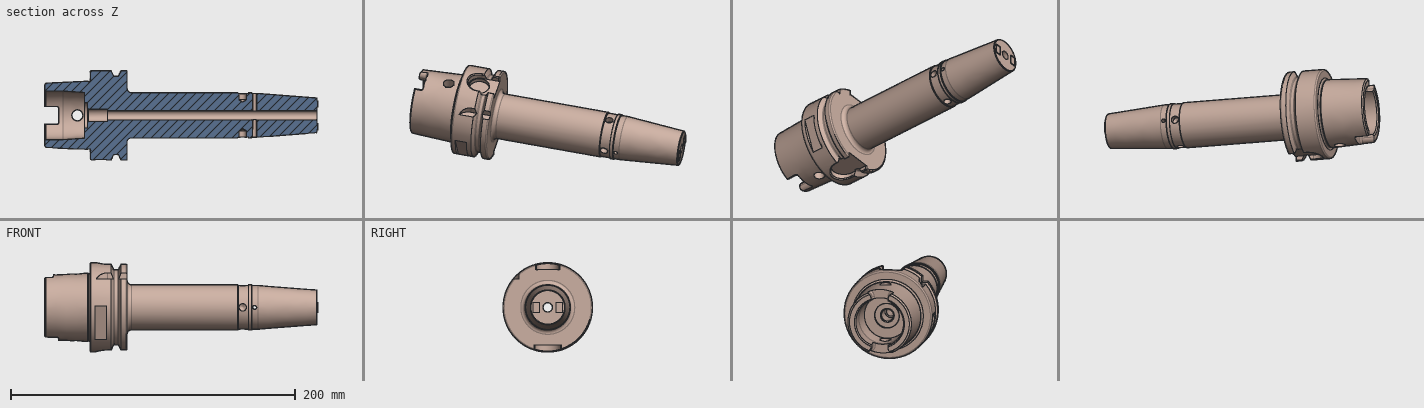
import cadquery as cq
import math


half_diagonal = math.sqrt(0.5)
select_margin = 0.1

shank_length = 32.0
shank_tip_radius = 22.7
shank_root_radius = 24.2
shank_tip_chamfer = 0.8
shank_tip_chamfer_height = 1.3
undercut_start = -1.9
undercut_flat_start = -1.3
undercut_flat_end = -0.6
undercut_radius = 23.8
face_recess_radius = 25.4
face_recess_depth = 0.25

bore_radius = 17.0
bore_mouth_radius = 17.9
bore_mouth_length = 0.9
bore_straight_end = -19.0
bore_floor_x = -4.0
bore_floor_radius = 16.0
seat_radius = 8.8
seat_depth = 2.0
thread_radius = 4.3
thread_chamfer = 0.7
thread_depth = 14.0
coolant_radius = 3.2

slot_width = 12.3
slot_round = 3.4
slot_round_centre_z = 17.7
slot_floor_fillet = 1.3
upper_slot_depth = 6.1
lower_slot_depth = 9.9

access_hole_x = -9.0
access_hole_radius = 3.8

flange_radius = 31.5
flange_width = 26.0
flange_round = 1.0
rim_round = 0.9
groove_centre_x = 18.2
groove_bottom_radius = 27.6
groove_bottom_width = 3.0
groove_flank_angle = 27.0
groove_bottom_fillet = 0.6

key_centre_x = 13.0
key_floor_z = 26.5
key_edge_chamfer = 0.8
upper_key_radius = 7.8
lower_key_radius = 9.0
key_pocket_radius = 7.1
key_pocket_depth = 2.7

notch_floor_z = 20.0
notch_wall_y = -20.2
notch_end_x = 12.0
notch_end_radius = 9.0

flat_start_x = 3.4
flat_length = 8.1
flat_distance = 28.9
flat_angle = 22.0

body_radius = 16.0
body_fillet = 3.0
groove_step = 0.5
screw_band_start = 103.7
screw_band_end = 111.1
collar_end = 113.3
step_chamfer = 0.5
nose_start = 117.9
nose_root_radius = 15.5
nose_tip_radius = 12.3
nose_chamfer = 0.5
nose_end = 159.5

screw_hole_x = 107.2
screw_hole_radius = 2.6
screw_hole_depth = 5.0
drill_point_angle = 118.0
relief_hole_x = 115.6
relief_hole_radius = 1.3

pad_height = 0.5
pad_offset = 8.0
pad_width = 4.4
pad_length = 7.0


def turned_body():
    """Outer profile revolved about X."""
    taper_slope = (shank_root_radius - shank_tip_radius) / shank_length
    undercut_edge = shank_root_radius + taper_slope * undercut_start
    recess_middle = (undercut_radius + face_recess_radius) / 2
    flange_round_drop = flange_round * (1 - half_diagonal)
    rim_round_drop = rim_round * (1 - half_diagonal)
    half_bottom = groove_bottom_width / 2
    flank_width = (flange_radius - groove_bottom_radius) * math.tan(math.radians(groove_flank_angle))
    half_top = half_bottom + flank_width
    band_radius = body_radius - groove_step
    fillet_mid = body_fillet * (1 - half_diagonal)
    profile = (
        cq.Workplane("XY")
        .moveTo(-shank_length, 0)
        .lineTo(-shank_length, shank_tip_radius - shank_tip_chamfer_height)
        .lineTo(-shank_length + shank_tip_chamfer, shank_tip_radius)
        .lineTo(undercut_start, undercut_edge)
        .lineTo(undercut_flat_start, undercut_radius)
        .lineTo(undercut_flat_end, undercut_radius)
        .threePointArc((face_recess_depth, recess_middle), (0, face_recess_radius))
        .lineTo(0, flange_radius - flange_round)
        .threePointArc(
            (flange_round_drop, flange_radius - flange_round_drop),
            (flange_round, flange_radius),
        )
        .lineTo(groove_centre_x - half_top, flange_radius)
        .lineTo(groove_centre_x - half_bottom, groove_bottom_radius)
        .lineTo(groove_centre_x + half_bottom, groove_bottom_radius)
        .lineTo(groove_centre_x + half_top, flange_radius)
        .lineTo(flange_width - rim_round, flange_radius)
        .threePointArc(
            (flange_width - rim_round_drop, flange_radius - rim_round_drop),
            (flange_width, flange_radius - rim_round),
        )
        .lineTo(flange_width, body_radius + body_fillet)
        .threePointArc(
            (flange_width + fillet_mid, body_radius + fillet_mid),
            (flange_width + body_fillet, body_radius),
        )
        .lineTo(screw_band_start, body_radius)
        .lineTo(screw_band_start + step_chamfer, band_radius)
        .lineTo(screw_band_end, band_radius)
        .lineTo(screw_band_end, body_radius)
        .lineTo(collar_end, body_radius)
        .lineTo(collar_end + step_chamfer, nose_root_radius)
        .lineTo(nose_start, nose_root_radius)
        .lineTo(nose_end - nose_chamfer, nose_tip_radius)
        .lineTo(nose_end, nose_tip_radius - nose_chamfer)
        .lineTo(nose_end, 0)
        .close()
    )
    body = profile.revolve(360, (0, 0, 0), (1, 0, 0))
    corner_finder = cq.selectors.BoxSelector(
        (groove_centre_x - half_bottom - select_margin, -flange_radius, -flange_radius),
        (groove_centre_x + half_bottom + select_margin, flange_radius, flange_radius),
    )
    return body.edges(corner_finder).edges("%CIRCLE").fillet(groove_bottom_fillet)


def shank_bore():
    """Stepped bore entering from the shank tip, with the coolant passage through to the nose."""
    mouth_end = -shank_length + bore_mouth_length
    seat_x = bore_floor_x + seat_depth
    profile = (
        cq.Workplane("XY")
        .moveTo(-shank_length, 0)
        .lineTo(-shank_length, bore_mouth_radius)
        .lineTo(mouth_end, bore_radius)
        .lineTo(bore_straight_end, bore_radius)
        .lineTo(bore_floor_x, bore_floor_radius)
        .lineTo(bore_floor_x, seat_radius)
        .lineTo(seat_x, seat_radius)
        .lineTo(seat_x, thread_radius + thread_chamfer)
        .lineTo(seat_x + thread_chamfer, thread_radius)
        .lineTo(seat_x + thread_depth, thread_radius)
        .lineTo(seat_x + thread_depth, coolant_radius)
        .lineTo(nose_end, coolant_radius)
        .lineTo(nose_end, 0)
        .close()
    )
    return profile.revolve(360, (0, 0, 0), (1, 0, 0))


def drive_slot(depth):
    """Slot in the +Z side of the shank tip, its outer corners flaring with convex rounds."""
    half = slot_width / 2
    outer_half = half + slot_round
    round_top_z = slot_round_centre_z + slot_round
    diagonal = slot_round * half_diagonal
    slot = (
        cq.Workplane("YZ", origin=(-shank_length, 0, 0))
        .moveTo(-half, 0)
        .lineTo(half, 0)
        .lineTo(half, slot_round_centre_z)
        .threePointArc(
            (outer_half - diagonal, slot_round_centre_z + diagonal),
            (outer_half, round_top_z),
        )
        .lineTo(outer_half, flange_radius)
        .lineTo(-outer_half, flange_radius)
        .lineTo(-outer_half, round_top_z)
        .threePointArc(
            (diagonal - outer_half, slot_round_centre_z + diagonal),
            (-half, slot_round_centre_z),
        )
        .close()
        .extrude(depth)
    )
    return slot.faces(">X").edges("not #Z").edges("not |Y").fillet(slot_floor_fillet)


def keyway(radius):
    """Round-ended keyway in the +Z side of the flange, open towards the tool end."""
    height = flange_radius - key_floor_z
    run_out = flange_width - key_centre_x + radius
    return (
        cq.Workplane("XY", origin=(key_centre_x, 0, key_floor_z))
        .moveTo(run_out, -radius)
        .lineTo(0, -radius)
        .threePointArc((-radius, 0), (0, radius))
        .lineTo(run_out, radius)
        .close()
        .extrude(height)
    )


def chamfer_key_mouth(body, radius):
    """Break the rim of the +Z keyway where it meets the flange cylinder."""
    side_height = math.sqrt(flange_radius**2 - radius**2)
    rim_edges = cq.selectors.BoxSelector(
        (key_centre_x - radius - select_margin, -radius - select_margin, side_height - select_margin),
        (flange_width - rim_round, radius + select_margin, flange_radius + select_margin),
    )
    return body.edges(rim_edges).chamfer(key_edge_chamfer)


def key_pocket():
    """Round pocket sunk into the upper keyway floor."""
    floor_z = key_floor_z - key_pocket_depth
    return (
        cq.Workplane("XY", origin=(key_centre_x, 0, floor_z))
        .circle(key_pocket_radius)
        .extrude(flange_radius - floor_z)
    )


def orientation_notch():
    """Flat-floored corner notch with an end-mill radius at its blind end."""
    run = flange_width - notch_end_x
    height = flange_radius - notch_floor_z
    plane = cq.Workplane("XY", origin=(notch_end_x, notch_wall_y - notch_end_radius, notch_floor_z))
    blind_end = plane.circle(notch_end_radius).extrude(height)
    channel = plane.center(run / 2, 0).rect(run, 2 * notch_end_radius).extrude(height)
    return blind_end.union(channel)


def chip_flat():
    """Tilted rectangular flat milled into the -Y side of the flange."""
    depth = flange_radius - flat_distance
    cutter = cq.Workplane("XY").box(
        flat_length, depth, 2 * flange_radius, centered=(False, False, True)
    )
    cutter = cutter.translate((flat_start_x, -flange_radius, 0))
    return cutter.rotate((0, 0, 0), (1, 0, 0), flat_angle)


def screw_hole():
    """Blind radial hole with a drill point, entering from +Z."""
    bottom_z = body_radius - screw_hole_depth
    point_z = bottom_z - screw_hole_radius / math.tan(math.radians(drill_point_angle / 2))
    return (
        cq.Workplane("XZ")
        .moveTo(0, point_z)
        .lineTo(screw_hole_radius, bottom_z)
        .lineTo(screw_hole_radius, body_radius)
        .lineTo(0, body_radius)
        .close()
        .revolve(360, (0, 0, 0), (0, 1, 0))
        .translate((screw_hole_x, 0, 0))
    )


def turn(shape, angle):
    return shape.rotate((0, 0, 0), (1, 0, 0), angle)


result = turned_body().cut(shank_bore())

result = result.cut(drive_slot(upper_slot_depth))
result = result.cut(turn(drive_slot(lower_slot_depth), 180))
access_hole = (
    cq.Workplane("XY", origin=(access_hole_x, 0, 0))
    .circle(access_hole_radius)
    .extrude(flange_radius, both=True)
)
result = result.cut(access_hole)

for key_radius in (upper_key_radius, lower_key_radius):
    result = chamfer_key_mouth(result.cut(keyway(key_radius)), key_radius)
    result = turn(result, 180)
result = result.cut(key_pocket())
result = result.cut(orientation_notch()).cut(chip_flat())

for quarter in range(4):
    result = result.cut(turn(screw_hole(), 90 * quarter))
relief_hole = (
    cq.Workplane("XZ", origin=(relief_hole_x, 0, 0))
    .circle(relief_hole_radius)
    .extrude(body_radius, both=True)
)
result = result.cut(relief_hole)

pads = (
    cq.Workplane("YZ", origin=(nose_end, 0, 0))
    .pushPoints([(-pad_offset, 0), (pad_offset, 0)])
    .rect(pad_width, pad_length)
    .extrude(pad_height)
)
result = result.union(pads)